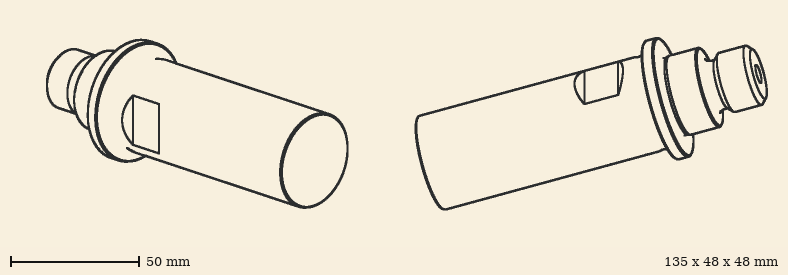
import cadquery as cq
import math

total_length = 135.0
shoulder_x = 20.0
flange_front_x = 35.0
flange_back_x = 40.0

spigot_radius = 12.0
pilot_radius = 16.0
flange_radius = 24.0
shank_radius = 19.0

spigot_chamfer = 2.0
pilot_chamfer = 0.5
flange_chamfer = 0.5
shank_chamfer = 0.5

neck_radius = 9.8
neck_fillet = 3.2
neck_flat_length = 1.6

pilot_relief_depth = 0.4
pilot_relief_start_x = 32.3
pilot_relief_floor_x = 33.4
face_relief_depth = 0.3
pilot_relief_fillet = 0.6
face_relief_radius = 17.9

shank_relief_depth = 0.3
shank_relief_fillet = 4.4
shank_relief_flat_length = 0.6
shank_relief_run_out = 1.1

flat_distance = 16.0
flat_start_x = 52.25
flat_length = 14.0

centre_mouth_radius = 3.6
centre_bore_radius = 1.5
centre_cone_half_angle = 30.0
centre_bore_length = 4.0
centre_tip_half_angle = 60.0

rising_arc_angle = -45.0
falling_arc_angle = -135.0


def point_on_arc(centre, radius, angle):
    """Point on a circle in the axial section, at an angle in degrees from +X."""
    direction = math.radians(angle)
    return (centre[0] + radius * math.cos(direction), centre[1] + radius * math.sin(direction))


def turned_body():
    """Solid of revolution about X: spigot, neck, pilot, flange and shank."""
    neck_arc_x = shoulder_x - neck_fillet
    neck_start_x = neck_arc_x - neck_flat_length
    neck_centre = (neck_arc_x, neck_radius + neck_fillet)
    neck_arc_mid = point_on_arc(neck_centre, neck_fillet, rising_arc_angle)

    pilot_relief_radius = pilot_radius - pilot_relief_depth
    relief_face_x = flange_front_x + face_relief_depth
    pilot_arc_x = relief_face_x - pilot_relief_fillet
    pilot_centre = (pilot_arc_x, pilot_relief_radius + pilot_relief_fillet)
    pilot_arc_mid = point_on_arc(pilot_centre, pilot_relief_fillet, rising_arc_angle)

    shank_relief_radius = shank_radius - shank_relief_depth
    shank_arc_x = flange_back_x + shank_relief_fillet
    shank_centre = (shank_arc_x, shank_relief_radius + shank_relief_fillet)
    shank_arc_mid = point_on_arc(shank_centre, shank_relief_fillet, falling_arc_angle)
    shank_relief_end_x = shank_arc_x + shank_relief_flat_length

    profile = (
        cq.Workplane("XZ")
        .moveTo(0, 0)
        .lineTo(0, spigot_radius - spigot_chamfer)
        .lineTo(spigot_chamfer, spigot_radius)
        .lineTo(neck_start_x - (spigot_radius - neck_radius), spigot_radius)
        .lineTo(neck_start_x, neck_radius)
        .lineTo(neck_arc_x, neck_radius)
        .threePointArc(neck_arc_mid, (shoulder_x, neck_centre[1]))
        .lineTo(shoulder_x, pilot_radius - pilot_chamfer)
        .lineTo(shoulder_x + pilot_chamfer, pilot_radius)
        .lineTo(pilot_relief_start_x, pilot_radius)
        .lineTo(pilot_relief_floor_x, pilot_relief_radius)
        .lineTo(pilot_arc_x, pilot_relief_radius)
        .threePointArc(pilot_arc_mid, (relief_face_x, pilot_centre[1]))
        .lineTo(flange_front_x, face_relief_radius)
        .lineTo(flange_front_x, flange_radius - flange_chamfer)
        .lineTo(flange_front_x + flange_chamfer, flange_radius)
        .lineTo(flange_back_x - flange_chamfer, flange_radius)
        .lineTo(flange_back_x, flange_radius - flange_chamfer)
        .lineTo(flange_back_x, shank_centre[1])
        .threePointArc(shank_arc_mid, (shank_arc_x, shank_relief_radius))
        .lineTo(shank_relief_end_x, shank_relief_radius)
        .lineTo(shank_relief_end_x + shank_relief_run_out, shank_radius)
        .lineTo(total_length - shank_chamfer, shank_radius)
        .lineTo(total_length, shank_radius - shank_chamfer)
        .lineTo(total_length, 0)
        .close()
    )
    return profile.revolve(360, (0, 0, 0), (1, 0, 0))


def wrench_flat_cutter(side):
    """Trapezoidal prism that mills one flat; side is -1 or +1 along Y."""
    flat_end_x = flat_start_x + flat_length
    ramp = flange_radius - flat_distance
    return (
        cq.Workplane("XY")
        .moveTo(flat_start_x, side * flat_distance)
        .lineTo(flat_end_x, side * flat_distance)
        .lineTo(flat_end_x + ramp, side * flange_radius)
        .lineTo(flat_start_x - ramp, side * flange_radius)
        .close()
        .extrude(shank_radius, both=True)
    )


def centre_hole_cutter():
    """Conical centre hole with a short drilled bore and drill tip."""
    cone_length = (centre_mouth_radius - centre_bore_radius) / math.tan(math.radians(centre_cone_half_angle))
    bore_end_x = cone_length + centre_bore_length
    tip_length = centre_bore_radius / math.tan(math.radians(centre_tip_half_angle))
    return (
        cq.Workplane("XZ")
        .moveTo(0, 0)
        .lineTo(0, centre_mouth_radius)
        .lineTo(cone_length, centre_bore_radius)
        .lineTo(bore_end_x, centre_bore_radius)
        .lineTo(bore_end_x + tip_length, 0)
        .close()
        .revolve(360, (0, 0, 0), (1, 0, 0))
    )


result = turned_body().cut(centre_hole_cutter())
for flat_side in (-1, 1):
    result = result.cut(wrench_flat_cutter(flat_side))